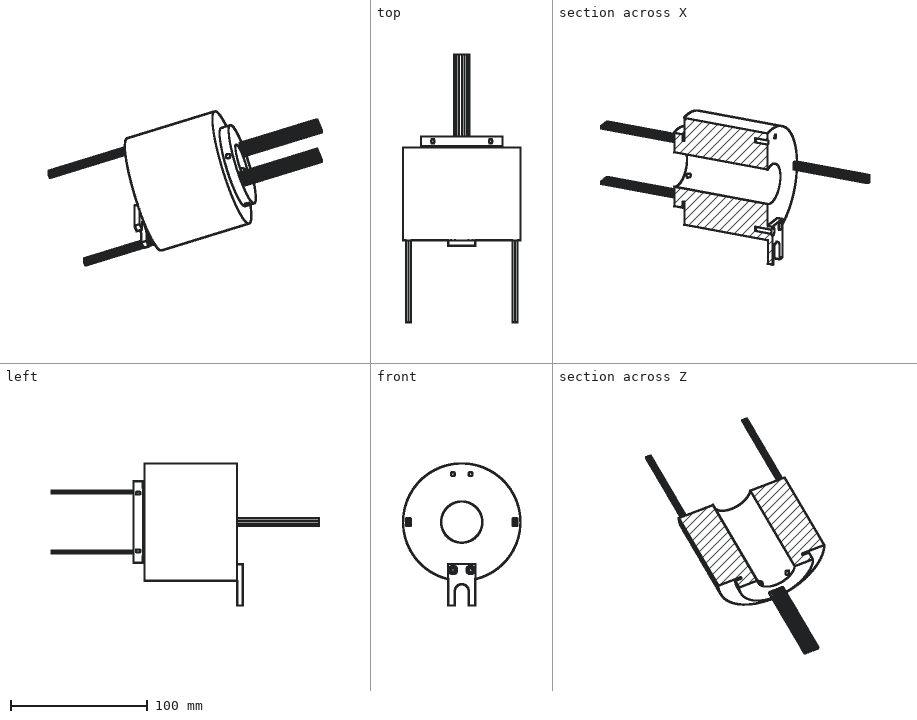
import cadquery as cq
import math

body_diameter = 86.0
body_length = 68.0
bore_diameter = 30.0
neck_diameter = 50.0
neck_length = 1.0
flange_diameter = 60.0
flange_length = 7.0
set_screw_diameter = 3.3
set_screw_angles = (45, 135, 225, 315)

overall_height = 104.0
plate_width = 20.0
plate_thickness = 4.1
plate_top = -30.8
plate_bottom = body_diameter / 2 - overall_height
fork_slot_width = 10.0
fork_slot_center = -50.5

screw_x = 6.5
screw_z = 35.0
screw_diameter = 3.0
screw_depth = 10.0
countersink_diameter = 6.0
countersink_angle = 90

wire_diameter = 2.0
wire_pitch = 1.86
wire_length = 60.0
stator_bundle_x = 39.0
stator_bundle_columns = 2
stator_bundle_rows = 3
rotor_row_z = 22.0
rotor_row_wires = 6

neck_back = body_length + neck_length
flange_back = neck_back + flange_length


def cylinder(diameter, length, start, direction):
    """Cylinder growing from a start point along a direction."""
    return cq.Workplane(
        cq.Solid.makeCylinder(diameter / 2, length, cq.Vector(*start), cq.Vector(*direction))
    )


def make_housing():
    """Stator body, rotor neck and rotor flange, before drilling."""
    body = cylinder(body_diameter, body_length, (0, 0, 0), (0, 1, 0))
    neck = cylinder(neck_diameter, neck_length, (0, body_length, 0), (0, 1, 0))
    flange = cylinder(flange_diameter, flange_length, (0, neck_back, 0), (0, 1, 0))
    return body.union(neck).union(flange)


def make_fork_plate():
    """Flat plate on the front face with a round-topped slot open at the bottom."""
    plate = (
        cq.Workplane("XZ")
        .moveTo(-plate_width / 2, plate_top)
        .lineTo(plate_width / 2, plate_top)
        .lineTo(plate_width / 2, plate_bottom)
        .lineTo(fork_slot_width / 2, plate_bottom)
        .lineTo(fork_slot_width / 2, fork_slot_center)
        .threePointArc(
            (0, fork_slot_center + fork_slot_width / 2),
            (-fork_slot_width / 2, fork_slot_center),
        )
        .lineTo(-fork_slot_width / 2, plate_bottom)
        .lineTo(-plate_width / 2, plate_bottom)
        .close()
        .extrude(plate_thickness)
    )
    return plate


def drill_bore(part):
    return part.cut(cylinder(bore_diameter, flange_back, (0, 0, 0), (0, 1, 0)))


def drill_set_screws(part):
    """Radial holes from the flange rim to the bore."""
    hole_y = neck_back + flange_length / 2
    for angle in set_screw_angles:
        direction = (math.cos(math.radians(angle)), 0, math.sin(math.radians(angle)))
        part = part.cut(cylinder(set_screw_diameter, flange_diameter, (0, hole_y, 0), direction))
    return part


def drill_front_screws(part):
    """Plain blind holes above the axis, countersunk holes through the plate below it."""
    for x in (-screw_x, screw_x):
        part = part.cut(cylinder(screw_diameter, screw_depth, (x, 0, screw_z), (0, 1, 0)))
    return (
        part.faces("<Y")
        .workplane(origin=(0, -plate_thickness, 0))
        .pushPoints([(-screw_x, -screw_z), (screw_x, -screw_z)])
        .cskHole(
            screw_diameter,
            countersink_diameter,
            countersink_angle,
            depth=plate_thickness + screw_depth,
        )
    )


def add_wires(part, center_x, center_z, columns, rows, start_y, direction_y):
    """Rectangular array of parallel wires leaving a face along the axis."""
    for column in range(columns):
        x = center_x + (column - (columns - 1) / 2) * wire_pitch
        for row in range(rows):
            z = center_z + (row - (rows - 1) / 2) * wire_pitch
            wire = cylinder(wire_diameter, wire_length, (x, start_y, z), (0, direction_y, 0))
            part = part.union(wire)
    return part


result = make_housing().union(make_fork_plate())
result = drill_bore(result)
result = drill_set_screws(result)
result = drill_front_screws(result)
for side in (-1, 1):
    result = add_wires(
        result, side * stator_bundle_x, 0, stator_bundle_columns, stator_bundle_rows, 0, -1
    )
    result = add_wires(result, 0, side * rotor_row_z, rotor_row_wires, 1, flange_back, 1)